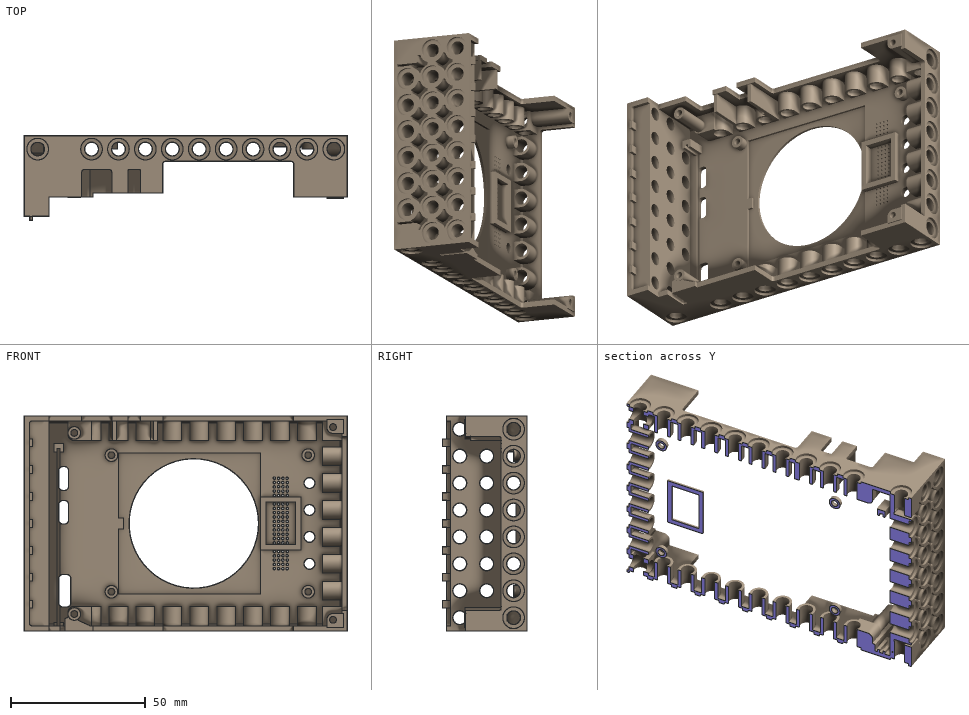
import cadquery as cq
LENGTH = 120.0
PITCH = LENGTH / 12
HALF_PITCH = PITCH / 2
ROWS = 8
HEIGHT = ROWS * PITCH
MID_Z = HEIGHT / 2
WALL = PITCH / 5
OVERLAP = 0.1

HOLE_DIA = 5.0
COUNTERBORE_DIA = 8.0
COUNTERBORE_DEPTH = 1.0
TUBE_DIA = 7.0
TUBE_REACH = 9.2
LONG_WALL_COLUMNS = [0] + list(range(2, 12))
TUBE_COLUMNS = range(2, 11)
END_WALL_ROWS = range(1, 7)

RIM_DEPTH = 9.6
REAR_TAB_DEPTH = 22.8
MID_TAB_DEPTH = 21.4
MID_TAB_END = 51.5
FRONT_TAB_START = 100.1
CORNER_WALL_HEIGHT = 7.7
NOTCH_RADIUS = 1.0
NOTCH_DEPTH = 12.6
TOP_NOTCHES = [((21.4, 32.5), NOTCH_RADIUS), ((38.5, 43.2), 0.5)]
BOTTOM_SLIT_START = 13.2
BOTTOM_SLIT_RADIUS = 0.5
STEP_X = 25.5
WALL_FOOT = 0.7

BLOCK_WIDTH = 9.2
BLOCK_COLUMNS = 3
BLOCK_DEPTH = BLOCK_COLUMNS * PITCH
FACE_RECESS = 1.5
FACE_CORNER_RADIUS = 0.7
POCKET_DEPTH = 7.2
POCKET_HALF = 3.5
HUB_RADIUS = 4.8
CORNER_BOX = 9.4
CORNER_BOX_FILLET = 0.6
SLIT_START = 1.1
LATCH_TIP = 31.5
LATCH_WIDTH = 2.9
LATCH_X_END = 3.1

PANEL = (35.0, 87.7)
PANEL_EDGE = 13.8
PANEL_RECESS = 1.0
KEY_END = 37.0
KEY_WIDTH = 4.2
WINDOW_DIA = 48.0
WINDOW_X = 63.0
VENT_DIA = 4.0
VENT_X = 106.0
VENT_ROWS = range(2, 6)
FRAME = (87.7, 102.8)
FRAME_HEIGHT = 19.8
FRAME_DEPTH = 4.2
PERFORATION_DIA = 0.8
PERFORATION_PITCH = PITCH * 4 / 25
PERFORATION_X = 95.3
PERFORATION_COUNT = (4, 22)
SLOT_X = 12.8
SLOTS = [(16.5, 52.3, 61.1), (16.5, 39.8, 48.5), (17.3, 9.0, 21.0)]
SLOT_RADIUS = 1.5
GROOVE = (12.1, 13.3)
GROOVE_DEPTH = 1.0
GROOVE_TOP = HEIGHT - 12.2
GUIDE = (11.0, 14.5)
GUIDE_HEIGHT = 3.1
GUIDE_DEPTH = 9.6
GUIDE_TOP = HEIGHT - 10.3

SCREW_DIA = 2.5
BOSS_DIA = 4.7
BOSS_DEPTH = HALF_PITCH
PANEL_BOSS_X = (32.4, 105.5)
PANEL_BOSS_EDGE = 14.6
LID_DEPTH = 23.3
LID_SCREW_DEPTH = 14.4
REAR_BOSS_X = 18.6
REAR_BOSS_EDGE = 6.4
REAR_BOSS_DEPTH = 23.0
GUSSET = (15.2, 24.5)
GUSSET_HEIGHT = 4.7
GUSSET_SHOULDER = 4.0
FRONT_SCREW_X = 114.7
FRONT_SCREW_EDGE = 4.2
FRONT_POST = (FRONT_SCREW_X - BOSS_DIA / 2, 118.5)
FRONT_POST_EDGES = (1.5, FRONT_SCREW_EDGE + BOSS_DIA / 2)

TAB_RIBS = [(32.9, 34.2), (48.0, 49.5)]
RIB_FOOT_START = 46.9
RIB_DEPTH = 21.0


def box(x, depth, z):
    """Box from (start, end) pairs; depth is counted from the back face."""
    size = (x[1] - x[0], depth[1] - depth[0], z[1] - z[0])
    return cq.Workplane("XY").box(*size, centered=False).translate((x[0], -depth[1], z[0]))


def bar_x(dia, x, depth, z):
    """Round bar along X."""
    return cq.Workplane("YZ", origin=(x[0], 0, 0)).center(-depth, z).circle(dia / 2).extrude(x[1] - x[0])


def bar_y(dia, x, depth, z):
    """Round bar along Y between two depths."""
    plane = cq.Workplane("XZ", origin=(0, -depth[0], 0))
    return plane.center(x, z).circle(dia / 2).extrude(depth[1] - depth[0])


def bar_z(dia, x, depth, z):
    """Round bar along Z."""
    return cq.Workplane("XY", origin=(x, -depth, z[0])).circle(dia / 2).extrude(z[1] - z[0])


def flipped(shape):
    """Same shape on the opposite long wall."""
    return shape.mirror("XY", (0, 0, MID_Z))


def on_both(shape):
    """The shape together with its copy on the opposite long wall."""
    return shape.union(flipped(shape))


def joined(shapes):
    """One shape from a list of shapes."""
    total = shapes[0]
    for shape in shapes[1:]:
        total = total.union(shape)
    return total


def centre(index):
    """Hole position on the pin grid."""
    return (index + 0.5) * PITCH


def notch(x, radius, depth):
    """Cutter for a notch in a long wall with rounded inner corners."""
    cutter = box(x, depth, (-OVERLAP, WALL + OVERLAP))
    return cutter.edges("|Z and >Y").fillet(radius)


def long_wall():
    """Outline shared by both long walls, placed at the bottom."""
    wall = box((0, LENGTH), (0, REAR_TAB_DEPTH), (0, WALL))
    middle = notch((MID_TAB_END, FRONT_TAB_START), NOTCH_RADIUS, (RIM_DEPTH, LENGTH))
    step = box((STEP_X, MID_TAB_END), (MID_TAB_DEPTH, LENGTH), (-OVERLAP, WALL + OVERLAP))
    return wall.cut(middle).cut(step)


def bottom_wall():
    slit = box((BOTTOM_SLIT_START, GUSSET[0]), (NOTCH_DEPTH, LENGTH), (-OVERLAP, WALL + OVERLAP))
    return long_wall().cut(slit.edges("|Z and >Y and <X").fillet(BOTTOM_SLIT_RADIUS))


def top_wall():
    wall = long_wall()
    for x, radius in TOP_NOTCHES:
        wall = wall.cut(notch(x, radius, (NOTCH_DEPTH, LENGTH)))
    return flipped(wall)


def end_wall():
    wall = box((LENGTH - WALL, LENGTH), (0, REAR_TAB_DEPTH), (0, HEIGHT))
    gap_z = (CORNER_WALL_HEIGHT, HEIGHT - CORNER_WALL_HEIGHT)
    gap = box((LENGTH - WALL - OVERLAP, LENGTH + OVERLAP), (RIM_DEPTH, LENGTH), gap_z)
    return wall.cut(gap.edges("|X and >Y").fillet(NOTCH_RADIUS))


def wall_feet():
    """Chamfer strips where the plate meets the walls."""
    long_foot = (
        cq.Workplane("YZ")
        .polyline([(-WALL, WALL), (-WALL - WALL_FOOT, WALL), (-WALL, WALL + WALL_FOOT)])
        .close()
        .extrude(LENGTH)
    )
    end_x = LENGTH - WALL
    end_foot = (
        cq.Workplane("XY")
        .polyline([(end_x, -WALL), (end_x - WALL_FOOT, -WALL), (end_x, -WALL - WALL_FOOT)])
        .close()
        .extrude(HEIGHT)
    )
    return on_both(long_foot).union(end_foot)


def long_wall_tubes():
    tubes = []
    half = TUBE_DIA / 2
    for column in TUBE_COLUMNS:
        x = centre(column)
        tube = bar_z(TUBE_DIA, x, HALF_PITCH, (0, TUBE_REACH))
        tube = tube.union(box((x - half, x + half), (0, HALF_PITCH), (0, TUBE_REACH)))
        tubes.append(tube)
    return on_both(joined(tubes))


def end_wall_tubes():
    tubes = []
    half = TUBE_DIA / 2
    x = (LENGTH - TUBE_REACH, LENGTH)
    for row in END_WALL_ROWS:
        z = centre(row)
        tube = bar_x(TUBE_DIA, x, HALF_PITCH, z)
        tube = tube.union(box(x, (0, HALF_PITCH), (z - half, z + half)))
        tubes.append(tube)
    return joined(tubes)


def corner_cubes():
    return on_both(box((LENGTH - TUBE_REACH, LENGTH), (0, HALF_PITCH + TUBE_DIA / 2), (0, TUBE_REACH)))


def long_wall_holes():
    holes = []
    for column in LONG_WALL_COLUMNS:
        x = centre(column)
        hole = bar_z(HOLE_DIA, x, HALF_PITCH, (0, TUBE_REACH + OVERLAP))
        hole = hole.union(bar_z(COUNTERBORE_DIA, x, HALF_PITCH, (0, COUNTERBORE_DEPTH)))
        holes.append(hole)
    return on_both(joined(holes))


def end_wall_holes():
    holes = []
    for row in range(ROWS):
        z = centre(row)
        hole = bar_x(HOLE_DIA, (LENGTH - TUBE_REACH - OVERLAP, LENGTH), HALF_PITCH, z)
        hole = hole.union(bar_x(COUNTERBORE_DIA, (LENGTH - COUNTERBORE_DEPTH, LENGTH), HALF_PITCH, z))
        holes.append(hole)
    return joined(holes)


def end_block():
    block = box((0, BLOCK_WIDTH), (0, BLOCK_DEPTH), (0, HEIGHT))
    face_z = (WALL, HEIGHT - WALL)
    face_depth = (BLOCK_DEPTH - FACE_RECESS, BLOCK_DEPTH + OVERLAP)
    recess = box((WALL, BLOCK_WIDTH + OVERLAP), face_depth, face_z)
    block = block.cut(recess.edges("|Y and <X").fillet(FACE_CORNER_RADIUS))
    for row in range(1, ROWS):
        z = row * PITCH
        latch_z = (z - LATCH_WIDTH / 2, z + LATCH_WIDTH / 2)
        block = block.union(box((WALL, LATCH_X_END), (BLOCK_DEPTH - FACE_RECESS, LATCH_TIP), latch_z))
    return block


def block_hole_sites():
    """Depth and Z of the block's holes; the two rear corners stay closed."""
    closed = [(0, 0), (0, ROWS - 1)]
    grid = [(column, row) for column in range(BLOCK_COLUMNS) for row in range(ROWS)]
    return [(centre(column), centre(row)) for column, row in grid if (column, row) not in closed]


def block_holes():
    holes = []
    for depth, z in block_hole_sites():
        hole = bar_x(HOLE_DIA, (0, BLOCK_WIDTH), depth, z)
        hole = hole.union(bar_x(COUNTERBORE_DIA, (0, COUNTERBORE_DEPTH), depth, z))
        holes.append(hole)
    return joined(holes)


def block_pockets():
    """Four-pointed pockets left between the hubs of neighbouring holes."""
    x = (0, POCKET_DEPTH)
    squares = []
    for column in range(1, BLOCK_COLUMNS):
        for row in range(1, ROWS):
            depth = column * PITCH
            z = row * PITCH
            depth_range = (depth - POCKET_HALF, depth + POCKET_HALF)
            squares.append(box(x, depth_range, (z - POCKET_HALF, z + POCKET_HALF)))
    pockets = joined(squares)
    for depth, z in block_hole_sites():
        pockets = pockets.cut(bar_x(2 * HUB_RADIUS, x, depth, z))
    corner = box(x, (0, CORNER_BOX), (0, CORNER_BOX))
    corner = corner.edges("|X and <Y and >Z").fillet(CORNER_BOX_FILLET)
    slit = box(x, (SLIT_START, PITCH - POCKET_HALF), (CORNER_BOX, centre(1) - HUB_RADIUS))
    return pockets.cut(on_both(corner)).union(on_both(slit))


def back_plate():
    plate = box((0, LENGTH), (0, WALL), (0, HEIGHT))
    panel = box(PANEL, (WALL - PANEL_RECESS, WALL), (PANEL_EDGE, HEIGHT - PANEL_EDGE))
    key_z = (MID_Z - KEY_WIDTH / 2, MID_Z + KEY_WIDTH / 2)
    panel = panel.cut(box((PANEL[0], KEY_END), (0, WALL), key_z))
    return plate.cut(panel).cut(frame_pocket()).cut(perforations())


def card_guides():
    """Two raised guides that hold the ends of an upright card."""
    upper = box(GUIDE, (0, GUIDE_DEPTH), (GUIDE_TOP - GUIDE_HEIGHT, GUIDE_TOP))
    lower = box(GUIDE, (0, GUIDE_DEPTH), (0, GUIDE_HEIGHT))
    return upper.union(lower)


def card_groove():
    """Upright groove through the guides and into the plate."""
    return box(GROOVE, (WALL - GROOVE_DEPTH, GUIDE_DEPTH), (WALL, GROOVE_TOP))


def connector_frame():
    z = (MID_Z - FRAME_HEIGHT / 2, MID_Z + FRAME_HEIGHT / 2)
    outer = box(FRAME, (WALL - PANEL_RECESS, FRAME_DEPTH), z)
    return outer.cut(frame_pocket())


def frame_pocket():
    """Opening of the frame, sunk into the plate as deep as the panel."""
    half = FRAME_HEIGHT / 2 - WALL
    x = (FRAME[0] + WALL, FRAME[1] - WALL)
    return box(x, (WALL - PANEL_RECESS, FRAME_DEPTH), (MID_Z - half, MID_Z + half))


def plate_openings():
    through = (0, WALL)
    openings = bar_y(WINDOW_DIA, WINDOW_X, through, MID_Z)
    for row in VENT_ROWS:
        openings = openings.union(bar_y(VENT_DIA, VENT_X, through, centre(row)))
    for x_end, z_start, z_end in SLOTS:
        slot = box((SLOT_X, x_end), through, (z_start, z_end))
        openings = openings.union(slot.edges("|Y").fillet(SLOT_RADIUS))
    return openings


def perforations():
    plane = cq.Workplane("XZ").center(PERFORATION_X, MID_Z)
    grid = plane.rarray(PERFORATION_PITCH, PERFORATION_PITCH, *PERFORATION_COUNT)
    return grid.circle(PERFORATION_DIA / 2).extrude(WALL)


def panel_bosses():
    bosses = []
    for x in PANEL_BOSS_X:
        boss = bar_y(BOSS_DIA, x, (0, BOSS_DEPTH), PANEL_BOSS_EDGE)
        boss = boss.cut(bar_y(SCREW_DIA, x, (WALL, BOSS_DEPTH), PANEL_BOSS_EDGE))
        bosses.append(boss)
    return on_both(joined(bosses))


def lid_posts():
    """Screw posts at both ends that carry the lid."""
    post = box(FRONT_POST, (0, LID_DEPTH), FRONT_POST_EDGES)
    post = post.edges("|Y and <X and >Z").fillet(BOSS_DIA / 2)
    rear = bar_y(BOSS_DIA, REAR_BOSS_X, (0, REAR_BOSS_DEPTH), REAR_BOSS_EDGE)
    return on_both(post.union(rear))


def rear_post_webs():
    """Solid webs joining the rear posts to the long walls."""
    web_x = (REAR_BOSS_X - BOSS_DIA / 2, centre(TUBE_COLUMNS[0]))
    web = box(web_x, (0, RIM_DEPTH), (0, TUBE_REACH))
    return on_both(web.edges("|Y and <X and >Z").fillet(BOSS_DIA / 2))


def rear_post_gusset():
    """Sloped gusset between the lower rear post and the bottom wall."""
    outline = [
        (GUSSET[0], 0),
        (GUSSET[0], GUSSET_HEIGHT),
        (REAR_BOSS_X, REAR_BOSS_EDGE),
        (REAR_BOSS_X + BOSS_DIA / 3, GUSSET_SHOULDER),
        (GUSSET[1], WALL),
        (GUSSET[1], 0),
    ]
    return cq.Workplane("XZ").polyline(outline).close().extrude(REAR_TAB_DEPTH)


def lid_screw_holes():
    depth = (LID_SCREW_DEPTH, LID_DEPTH)
    front = bar_y(SCREW_DIA, FRONT_SCREW_X, depth, FRONT_SCREW_EDGE)
    rear = bar_y(SCREW_DIA, REAR_BOSS_X, depth, REAR_BOSS_EDGE)
    return on_both(front.union(rear))


def tab_ribs():
    ribs = []
    for x in TAB_RIBS:
        rib = box(x, (0, RIB_DEPTH), (0, TUBE_REACH))
        ribs.append(rib)
    ribs.append(box((RIB_FOOT_START, TAB_RIBS[1][0]), (0, RIM_DEPTH), (0, TUBE_REACH)))
    return flipped(joined(ribs))


body = back_plate()
for addition in (
    bottom_wall(),
    top_wall(),
    end_wall(),
    wall_feet(),
    long_wall_tubes(),
    end_wall_tubes(),
    corner_cubes(),
    end_block(),
    connector_frame(),
    card_guides(),
    panel_bosses(),
    lid_posts(),
    rear_post_webs(),
    rear_post_gusset(),
    tab_ribs(),
):
    body = body.union(addition)

for cutter in (
    long_wall_holes(),
    end_wall_holes(),
    block_holes(),
    block_pockets(),
    card_groove(),
    plate_openings(),
    lid_screw_holes(),
):
    body = body.cut(cutter)

result = body